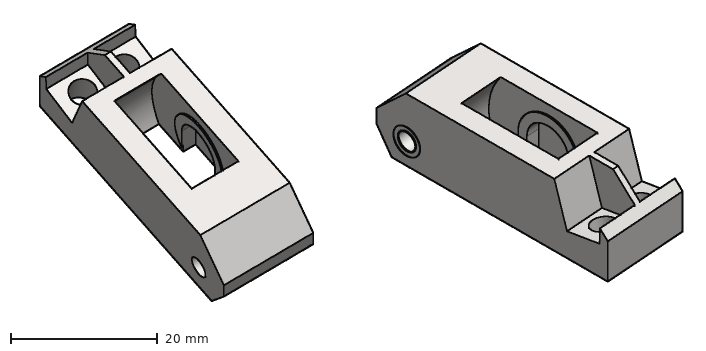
import cadquery as cq
import math

length = 43.0
height = 12.5
width = 15.0
top_chamfer = 5.5
nose_height = 4.35
nose_run = 2.85

lip_x = 1.45
ledge_start = (1.55, 5.75)
ledge_end = (7.55, 4.7)
notch_top_x = 9.95
web_thickness = 1.05
screw_diameter = 4.0
screw_spacing = 7.05

wheel_x = 21.5
cavity_z = 5.85
axle_z = 5.15
cavity_width = 7.83
window_length = 17.97
wheel_boss_diameter = 11.0
wheel_boss_height = 0.25
axle_slot_width = 7.75
axle_slot_depth = 2.32

pin_x = 37.1
pin_z = 4.5
pin_diameter = 3.2
collar_diameter = 3.45
flange_diameter = 4.95
flange_thickness = 0.1
collar_height = 0.3


def y_cylinder(x, z, diameter, y_start, y_end):
    """Cylinder along Y between two Y positions."""
    plane = cq.Plane(origin=(x, y_start, z), xDir=(1, 0, 0), normal=(0, 1, 0))
    return cq.Workplane(plane).circle(diameter / 2).extrude(y_end - y_start)


def y_prism(points, y_start, y_end):
    """Closed XZ outline extruded between two Y positions."""
    sketch = cq.Workplane("XZ", origin=(0, y_start, 0)).polyline(points).close()
    return sketch.extrude(y_start - y_end)


def make_body():
    shoulder = height - top_chamfer
    outline = [
        (0, 0),
        (0, shoulder),
        (top_chamfer, height),
        (length - top_chamfer, height),
        (length, shoulder),
        (length, nose_height),
        (length - nose_run, 0),
    ]
    return y_prism(outline, -width / 2, width / 2)


def make_notches():
    lip_z = height - top_chamfer + lip_x
    clearance = height + top_chamfer
    outline = [
        (lip_x, lip_z),
        ledge_start,
        ledge_end,
        (notch_top_x, height),
        (notch_top_x, clearance),
        (lip_x, clearance),
    ]
    near = y_prism(outline, -width / 2, -web_thickness / 2)
    return near.union(near.mirror("XZ"))


def make_screw_holes():
    """Two holes square to the sloping ledge, through the bottom face."""
    run = ledge_end[0] - ledge_start[0]
    drop = ledge_start[1] - ledge_end[1]
    center_x = (ledge_start[0] + ledge_end[0]) / 2
    center_z = (ledge_start[1] + ledge_end[1]) / 2
    holes = cq.Workplane("XY")
    for side in (-1, 1):
        origin = (center_x, side * screw_spacing / 2, center_z)
        plane = cq.Plane(origin=origin, xDir=(0, 1, 0), normal=(-drop, 0, -run))
        holes = holes.union(cq.Workplane(plane).circle(screw_diameter / 2).extrude(height))
    return holes


def make_wheel_cavity():
    """Round cavity with a ring boss and a blind axle slot, open below, in each side wall."""
    half = cavity_width / 2
    boss_face = half - wheel_boss_height
    slot_end = boss_face + axle_slot_depth
    cavity_radius = math.hypot(window_length / 2, height - cavity_z)
    cavity = y_cylinder(wheel_x, cavity_z, 2 * cavity_radius, -half, half)
    boss = y_cylinder(wheel_x, axle_z, wheel_boss_diameter, boss_face, half)
    cavity = cavity.cut(boss).cut(boss.mirror("XZ"))
    slot_top = y_cylinder(wheel_x, axle_z, axle_slot_width, -slot_end, slot_end)
    slot_base = cq.Workplane("XY", origin=(wheel_x, 0, 0))
    slot_sides = slot_base.rect(axle_slot_width, 2 * slot_end).extrude(axle_z)
    return cavity.union(slot_top).union(slot_sides)


def make_pin_collar():
    outer = width / 2 + collar_height
    neck = y_cylinder(pin_x, pin_z, collar_diameter, width / 2, outer)
    flange = y_cylinder(pin_x, pin_z, flange_diameter, outer - flange_thickness, outer)
    return neck.union(flange)


pin_hole = y_cylinder(pin_x, pin_z, pin_diameter, -width, width)

result = (
    make_body()
    .cut(make_notches())
    .cut(make_screw_holes())
    .cut(make_wheel_cavity())
    .union(make_pin_collar())
    .cut(pin_hole)
)